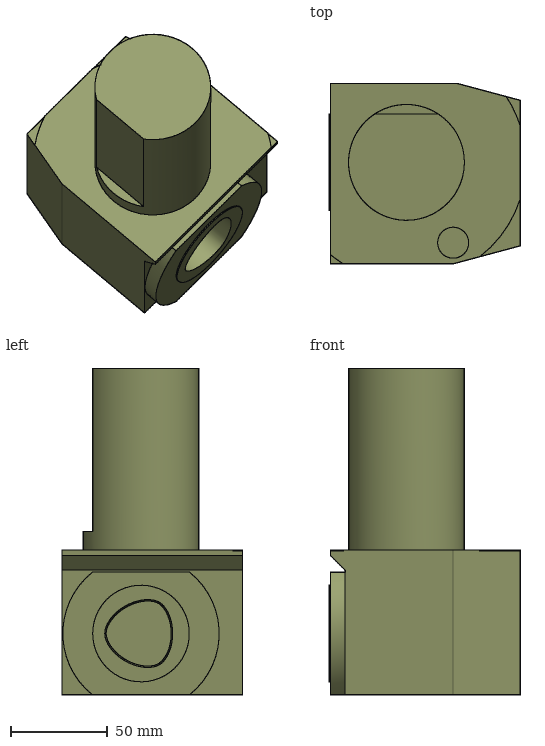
import cadquery as cq
import math

TOTAL_HEIGHT = 169.0
HEAD_HEIGHT = 75.0
LIP_X = -39.4
FACE_X = -31.8
BACK_X = 59.0
SIDE_Y = 40.9
OPPOSITE_SIDE_Y = -52.5
TAPER_START_X = 26.4
OPPOSITE_TAPER_START_X = 24.2
TAPER_ANGLE = 15.0
LIP_THICKNESS = 2.9

PAD_DIAMETER = 123.7
PAD_HEIGHT = 0.5
PIN_DIAMETER = 16.0
PIN_DEPTH = 7.5
PIN_X = 24.2
PIN_Y = -41.5

SHANK_DIAMETER = 60.0
FLAT_Y = 25.0
FLAT_START_Z = 9.6

NOSE_DIAMETER = 81.0
NOSE_HALF_HEIGHT = 31.8
SEAT_DIAMETER = 50.0
SEAT_HEIGHT = 0.7
SOCKET_RADIUS = 17.5
SOCKET_LOBE = 1.2
SOCKET_DEPTH = 30.5
SOCKET_TAPER = 1.4

NOSE_Z = NOSE_HALF_HEIGHT - HEAD_HEIGHT
SEAT_X = LIP_X - SEAT_HEIGHT


def make_head():
    slope = math.tan(math.radians(TAPER_ANGLE))
    back_y = SIDE_Y - (BACK_X - TAPER_START_X) * slope
    opposite_back_y = OPPOSITE_SIDE_Y + (BACK_X - OPPOSITE_TAPER_START_X) * slope
    plan = [
        (LIP_X, OPPOSITE_SIDE_Y),
        (OPPOSITE_TAPER_START_X, OPPOSITE_SIDE_Y),
        (BACK_X, opposite_back_y),
        (BACK_X, back_y),
        (TAPER_START_X, SIDE_Y),
        (LIP_X, SIDE_Y),
    ]
    head = cq.Workplane("XY").polyline(plan).close().extrude(-HEAD_HEIGHT)

    undercut_bottom_z = -LIP_THICKNESS - (FACE_X - LIP_X)
    relief = [
        (LIP_X, -LIP_THICKNESS),
        (FACE_X, undercut_bottom_z),
        (FACE_X, -HEAD_HEIGHT),
        (LIP_X, -HEAD_HEIGHT),
    ]
    undercut = (
        cq.Workplane("XZ", origin=(0, SIDE_Y, 0))
        .polyline(relief).close()
        .extrude(SIDE_Y - OPPOSITE_SIDE_Y)
    )
    return head.cut(undercut)


def relieve_top_corners(head):
    """Lower the corners of the top face that lie outside the round pad."""
    outer_radius = PAD_DIAMETER
    ring = (
        cq.Workplane("XY")
        .circle(outer_radius).circle(PAD_DIAMETER / 2)
        .extrude(-PAD_HEIGHT)
    )
    return head.cut(ring)


def make_shank():
    shank_height = TOTAL_HEIGHT - HEAD_HEIGHT
    shank = cq.Workplane("XY").circle(SHANK_DIAMETER / 2).extrude(shank_height)
    flat_cut = cq.Workplane("XY").box(
        SHANK_DIAMETER, SHANK_DIAMETER, shank_height - FLAT_START_Z,
        centered=(True, False, False),
    ).translate((0, FLAT_Y, FLAT_START_Z))
    return shank.cut(flat_cut)


def nose_plane(x):
    """Plane across the nose axis: local x is +Y, local y is +Z, normal is +X."""
    return cq.Workplane("YZ", origin=(x, 0, NOSE_Z))


def make_nose():
    flange_thickness = FACE_X - LIP_X
    flange = nose_plane(LIP_X).circle(NOSE_DIAMETER / 2).extrude(flange_thickness)
    band = nose_plane(LIP_X).rect(NOSE_DIAMETER, 2 * NOSE_HALF_HEIGHT).extrude(flange_thickness)
    seat = nose_plane(SEAT_X).circle(SEAT_DIAMETER / 2).extrude(SEAT_HEIGHT)
    return flange.intersect(band).union(seat)


def socket_point(angle, mean_radius):
    """Point on a three-lobed curve of constant width, with one lobe towards +Y."""
    support = mean_radius + SOCKET_LOBE * math.cos(3 * angle)
    support_slope = -3 * SOCKET_LOBE * math.sin(3 * angle)
    return (
        support * math.cos(angle) - support_slope * math.sin(angle),
        support * math.sin(angle) + support_slope * math.cos(angle),
    )


def socket_outline(x, mean_radius):
    point_count = 36
    points = [socket_point(2 * math.pi * i / point_count, mean_radius) for i in range(point_count)]
    return nose_plane(x).spline(points, periodic=True).close().wire().val()


def make_socket():
    floor_radius = SOCKET_RADIUS - SOCKET_DEPTH * math.tan(math.radians(SOCKET_TAPER))
    mouth = socket_outline(SEAT_X, SOCKET_RADIUS)
    floor = socket_outline(SEAT_X + SOCKET_DEPTH, floor_radius)
    return cq.Workplane(cq.Solid.makeLoft([mouth, floor], True))


def make_pin_hole():
    return cq.Workplane("XY").center(PIN_X, PIN_Y).circle(PIN_DIAMETER / 2).extrude(-PIN_DEPTH)


result = (
    relieve_top_corners(make_head())
    .union(make_shank())
    .union(make_nose())
    .cut(make_socket())
    .cut(make_pin_hole())
)